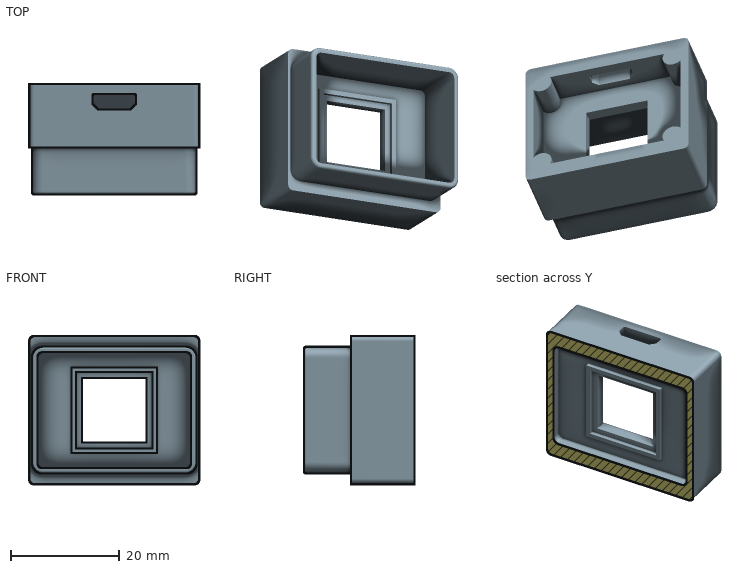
import cadquery as cq

width = 31.5
height = 27.5
total_depth = 20.5
housing_depth = 11.8
housing_radius = 1.0

hood_width = 30.5
hood_height = 23.5
hood_radius = 2.02
hood_wall = 1.0
lip_radius = 0.5
hood_depth = total_depth - housing_depth

cavity_width = hood_width - 2 * hood_wall
cavity_height = hood_height - 2 * hood_wall
cavity_radius = hood_radius - hood_wall
partition_front = 3.5
partition_thickness = 2.02
partition_back = partition_front + partition_thickness
rear_depth = housing_depth - partition_back

frame_size = 15.8
frame_opening = 14.1
frame_height = 0.8
window_size = 11.9

post_radius = 2.0
post_side_offset = 1.5
post_floor_offset = 1.0

port_width = 8.0
port_length = 2.85
port_chamfer = 1.0
port_radius = 0.3
port_rear_gap = 1.9
top_wall = (height - cavity_height) / 2


def block(size_x, size_z, front, depth):
    """Box centred on the Y axis, running from `front` towards +Y."""
    return cq.Workplane("XY").box(size_x, depth, size_z).translate((0, front + depth / 2, 0))


def make_shell():
    """Housing and hood, hollowed from the front down to the partition."""
    housing = block(width, height, 0, housing_depth).edges("|Y").fillet(housing_radius)
    hood = block(hood_width, hood_height, -hood_depth, hood_depth).edges("|Y").fillet(hood_radius)
    hood = hood.faces("<Y").edges().fillet(lip_radius)
    front_cavity = block(cavity_width, cavity_height, -hood_depth, hood_depth + partition_front)
    return housing.union(hood).cut(front_cavity.edges("|Y").fillet(cavity_radius))


def make_frame():
    front = partition_front - frame_height
    outer = block(frame_size, frame_size, front, frame_height)
    return outer.cut(block(frame_opening, frame_opening, front, frame_height))


def make_rear_cavity():
    """Rear pocket with the corner posts left standing."""
    cavity = block(cavity_width, cavity_height, partition_back, rear_depth)
    post_x = cavity_width / 2 - post_side_offset
    post_z = cavity_height / 2 - post_floor_offset
    for side_x in (-1, 1):
        for side_z in (-1, 1):
            post = cq.Workplane("XZ").circle(post_radius).extrude(-rear_depth)
            cavity = cavity.cut(post.translate((side_x * post_x, partition_back, side_z * post_z)))
    return cavity.solids(cq.selectors.NearestToPointSelector((0, partition_back, 0)))


def make_port():
    """Connector slot with its two front corners cut off."""
    rear = housing_depth - port_rear_gap
    slot = (
        cq.Workplane("XY")
        .box(port_width, port_length, top_wall)
        .translate((0, rear - port_length / 2, (height - top_wall) / 2))
    )
    slot = slot.edges("|Z and <Y").chamfer(port_chamfer)
    return slot.edges("|Z and >Y").fillet(port_radius)


result = make_shell().union(make_frame())
result = result.cut(block(window_size, window_size, partition_front, partition_thickness))
result = result.cut(make_rear_cavity())
result = result.cut(make_port())